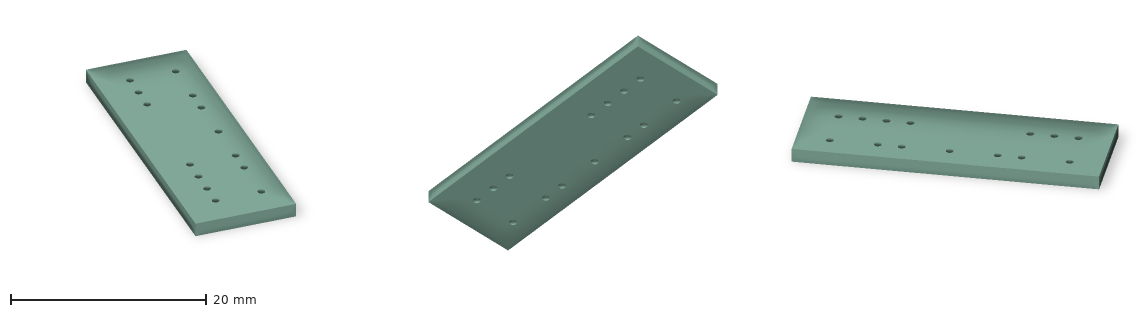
import cadquery as cq

length = 32.0
width = 11.0
thickness = 1.5

hole_diameter = 0.8
column_pitch = 2.5
row_spacing = 2 * column_pitch
back_row_y = 3.0
front_row_y = back_row_y - row_spacing
back_row_columns = [-5, -3, -2, 0, 2, 3, 5]
front_row_columns = [-5, -4, -3, 2, 3, 4, 5]


def row_points(columns, y):
    """Hole centres of one row."""
    return [(column * column_pitch, y) for column in columns]


plate = cq.Workplane("XY").box(length, width, thickness)

hole_points = row_points(back_row_columns, back_row_y) + row_points(front_row_columns, front_row_y)
result = plate.faces(">Z").workplane(origin=(0, 0, 0)).pushPoints(hole_points).hole(hole_diameter)